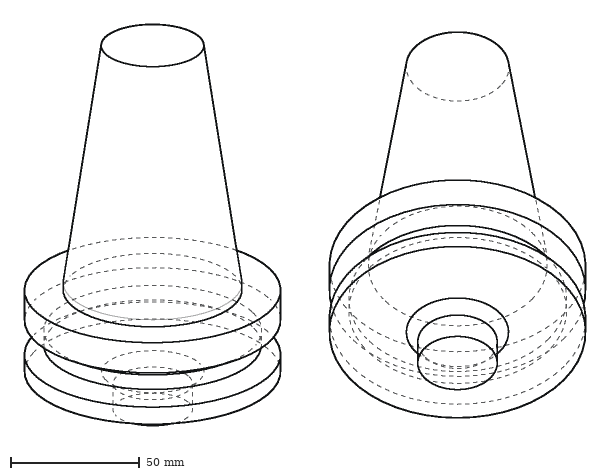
import cadquery as cq

total_height = 155.8

nose_radius = 31.0 / 2
nose_height = 11.2
nose_cone_radius = 39.9 / 2

flange_radius = 100.0 / 2
flange_bottom = 16.2
flange_thickness = 34.9
flange_top = flange_bottom + flange_thickness
groove_radius = 85.0 / 2
lower_rim_height = 7.3
upper_rim_height = 13.0
groove_flank_height = 4.2
groove_bottom = flange_bottom + lower_rim_height
groove_top = flange_top - upper_rim_height

shank_radius = 69.8 / 2
collar_height = 3.1
taper_bottom = flange_top + collar_height
taper_ratio = 7 / 24
tip_radius = shank_radius - (total_height - taper_bottom) * taper_ratio / 2

nose_section = [
    (0, 0),
    (nose_radius, 0),
    (nose_radius, nose_height),
    (nose_cone_radius, flange_bottom),
]
flange_section = [
    (flange_radius, flange_bottom),
    (flange_radius, groove_bottom),
    (groove_radius, groove_bottom + groove_flank_height),
    (groove_radius, groove_top - groove_flank_height),
    (flange_radius, groove_top),
    (flange_radius, flange_top),
]
shank_section = [
    (shank_radius, flange_top),
    (shank_radius, taper_bottom),
    (tip_radius, total_height),
    (0, total_height),
]

result = (
    cq.Workplane("XZ")
    .polyline(nose_section + flange_section + shank_section)
    .close()
    .revolve(360, (0, 0, 0), (0, 1, 0))
)